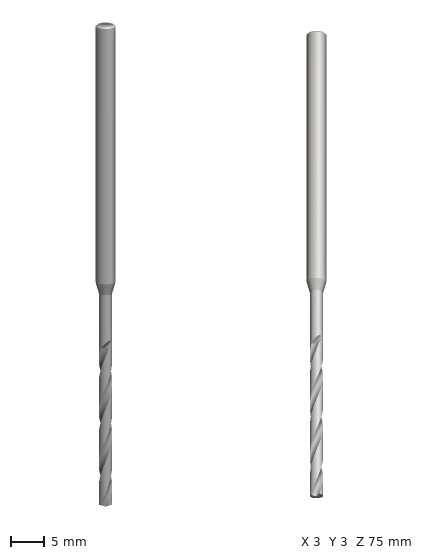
import cadquery as cq
import math

total_length = 75.0
shank_bottom = 35.0
neck_top = 33.2
joint_height = 22.1
flute_end = 24.8

shank_radius = 3.0 / 2
drill_radius = 2.0 / 2
shank_chamfer = 0.25
point_angle = 140.0

flute_count = 2
flute_pitch = 16.3
flute_half_angle = 36.0
core_radius = 0.42
first_flute_angle = -86.0
runout_slope = 45.0

flute_edge_distance = drill_radius * math.cos(math.radians(flute_half_angle))
flute_radius = (
    (drill_radius**2 + core_radius**2) / 2 - flute_edge_distance * core_radius
) / (flute_edge_distance - core_radius)
flute_offset = core_radius + flute_radius

point_height = drill_radius / math.tan(math.radians(point_angle / 2))
runout_reach = 2 * (drill_radius + flute_radius)


def make_shank_blank():
    """Chamfered shank, cone and neck as one turned profile."""
    return (
        cq.Workplane("YZ")
        .moveTo(0, joint_height)
        .lineTo(-drill_radius, joint_height)
        .lineTo(-drill_radius, neck_top)
        .lineTo(-shank_radius, shank_bottom)
        .lineTo(-shank_radius, total_length - shank_chamfer)
        .lineTo(-(shank_radius - shank_chamfer), total_length)
        .lineTo(0, total_length)
        .close()
        .revolve(360, (0, 0, 0), (0, 1, 0))
    )


def make_head_blank():
    """Cylindrical cutting head with a conical point."""
    return (
        cq.Workplane("XZ")
        .lineTo(-drill_radius, point_height)
        .lineTo(-drill_radius, joint_height)
        .lineTo(0, joint_height)
        .close()
        .revolve(360, (0, 0, 0), (0, 1, 0))
    )


def flute_direction(first_angle, height):
    """Direction of a flute at a height, given its direction at the point."""
    return first_angle + 360 * height / flute_pitch


def make_helical_flute(first_angle, bottom, top):
    """Circle twisted up around the drill axis from one height to another."""
    twist = 360 * (top - bottom) / flute_pitch
    return (
        cq.Workplane("XY")
        .workplane(offset=bottom)
        .pushPoints([(flute_offset, 0)])
        .circle(flute_radius)
        .twistExtrude(top - bottom, twist)
        .rotate((0, 0, 0), (0, 0, 1), flute_direction(first_angle, bottom))
    )


def make_flute_runout(first_angle):
    """Same circle carried straight on, sideways and up, until it leaves the drill."""
    end_center = cq.Vector(flute_offset, 0, flute_end)
    end_circle = cq.Wire.makeCircle(flute_radius, end_center, cq.Vector(0, 0, 1))
    travel = cq.Vector(0, runout_reach, runout_reach / math.tan(math.radians(runout_slope)))
    runout = cq.Solid.extrudeLinear(end_circle, [], travel)
    return cq.Workplane(runout).rotate((0, 0, 0), (0, 0, 1), flute_direction(first_angle, flute_end))


flute_angles = [first_flute_angle + flute * 360 / flute_count for flute in range(flute_count)]
shank = make_shank_blank()
cutting_head = make_head_blank()
for flute_angle in flute_angles:
    cutting_head = cutting_head.cut(make_helical_flute(flute_angle, 0, joint_height))
    shank = shank.cut(make_helical_flute(flute_angle, joint_height, flute_end))
    shank = shank.cut(make_flute_runout(flute_angle))

result = cq.Compound.makeCompound([shank.val(), cutting_head.val()])